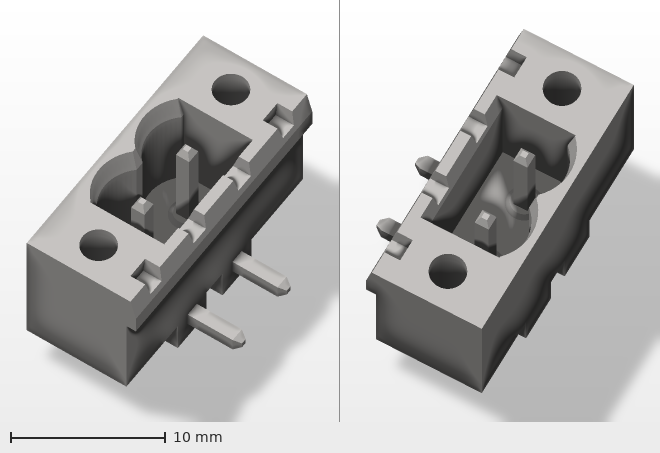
import cadquery as cq
import math


length = 20.0
depth = 7.85
height = 12.2
foot_height = 2.45
foot_width = 3.28
pitch = 5.08
pin_x = depth / 2
contact_ys = (-pitch / 2, pitch / 2)

lip_x = 8.58
lip_top_x = 8.15
lip_height = 2.98
lip_bevel_height = 1.6

pocket_length = 10.05
pocket_floor_z = 4.0
pocket_front_x = 6.92
pocket_back_x = 1.95
pocket_arc_radius = 2.95
flare = 0.45
flare_depth = 1.48

mount_spacing = 15.0
mount_diameter = 2.5
mount_ys = (-mount_spacing / 2, mount_spacing / 2)

notch_start_x = 7.0
notch_depth = 1.08
end_notch_top = 1.65
end_notch_bottom = 1.25
pocket_notch_top = 1.78
pocket_notch_bottom = 1.4

pin_size = 1.05
pin_tip_size = 0.42
pin_tip_length = 0.52
post_top_z = 11.38
pin_end_x = 11.9
collar_diameter = 2.5
collar_top_diameter = 1.9
collar_height = 0.3


def make_housing():
    """Body with the bevelled lip, standing on one foot under each contact."""
    body = (
        cq.Workplane("XZ", origin=(0, length / 2, 0))
        .moveTo(0, foot_height)
        .lineTo(depth, foot_height)
        .lineTo(depth, height - lip_height)
        .lineTo(lip_x, height - lip_height)
        .lineTo(lip_x, height - lip_bevel_height)
        .lineTo(lip_top_x, height)
        .lineTo(0, height)
        .close()
        .extrude(length)
    )
    for y in contact_ys:
        foot = cq.Workplane("XY").center(depth / 2, y).rect(depth, foot_width).extrude(foot_height)
        body = body.union(foot)
    return body


def draw_pocket(plane, widening):
    """Pocket outline with its front and its scalloped back moved outward by the widening."""
    half_length = pocket_length / 2
    front_x = pocket_front_x + widening
    back_x = pocket_back_x - widening
    radius = pocket_arc_radius + widening
    half_chord = math.sqrt(radius**2 - (pin_x - back_x) ** 2)
    outline = plane.moveTo(front_x, half_length).lineTo(front_x, -half_length).lineTo(back_x, -half_length)
    for y in contact_ys:
        outline = outline.lineTo(back_x, y - half_chord)
        outline = outline.threePointArc((pin_x - radius, y), (back_x, y + half_chord))
    return outline.lineTo(back_x, half_length).close()


def make_pocket():
    """Straight pocket that flares out below the top face."""
    flare_z = height - flare_depth
    straight = draw_pocket(cq.Workplane("XY", origin=(0, 0, pocket_floor_z)), 0)
    straight = straight.extrude(flare_z - pocket_floor_z)
    flared = draw_pocket(cq.Workplane("XY", origin=(0, 0, flare_z)), 0)
    flared = draw_pocket(flared.workplane(offset=flare_depth, origin=(0, 0, flare_z)), flare)
    return straight.union(flared.loft(ruled=True))


def make_notch(y, top_width, bottom_width):
    """Notch with sloping sides, open at the top and through the outside of the lip."""
    floor_z = height - notch_depth
    return (
        cq.Workplane("YZ", origin=(notch_start_x, y, 0))
        .moveTo(-bottom_width / 2, floor_z)
        .lineTo(bottom_width / 2, floor_z)
        .lineTo(top_width / 2, height)
        .lineTo(-top_width / 2, height)
        .close()
        .extrude(lip_x - notch_start_x)
    )


def make_pin(start_plane, pin_length):
    """Square pin with a blunt pyramid tip."""
    shank_length = pin_length - pin_tip_length
    shank = start_plane.rect(pin_size, pin_size).extrude(shank_length)
    tip = (
        start_plane.workplane(offset=shank_length)
        .rect(pin_size, pin_size)
        .workplane(offset=pin_tip_length)
        .rect(pin_tip_size, pin_tip_size)
        .loft(ruled=True)
    )
    return shank.union(tip)


def make_contact(y):
    """Post with a conical collar at the pocket floor, and a solder pin flush with the foot top."""
    pin_z = foot_height - pin_size / 2
    post = make_pin(cq.Workplane("XY", origin=(pin_x, y, pin_z)), post_top_z - pin_z)
    solder_pin = make_pin(cq.Workplane("YZ", origin=(pin_x, y, pin_z)), pin_end_x - pin_x)
    collar = (
        cq.Workplane("XY", origin=(pin_x, y, pocket_floor_z))
        .circle(collar_diameter / 2)
        .workplane(offset=collar_height)
        .circle(collar_top_diameter / 2)
        .loft(ruled=True)
    )
    return post.union(solder_pin).union(collar)


result = make_housing().cut(make_pocket())
for mount_y in mount_ys:
    hole = cq.Workplane("XY").center(pin_x, mount_y).circle(mount_diameter / 2).extrude(height)
    result = result.cut(hole)
    result = result.cut(make_notch(mount_y, end_notch_top, end_notch_bottom))
for contact_y in contact_ys:
    result = result.cut(make_notch(contact_y, pocket_notch_top, pocket_notch_bottom))
    result = result.union(make_contact(contact_y))